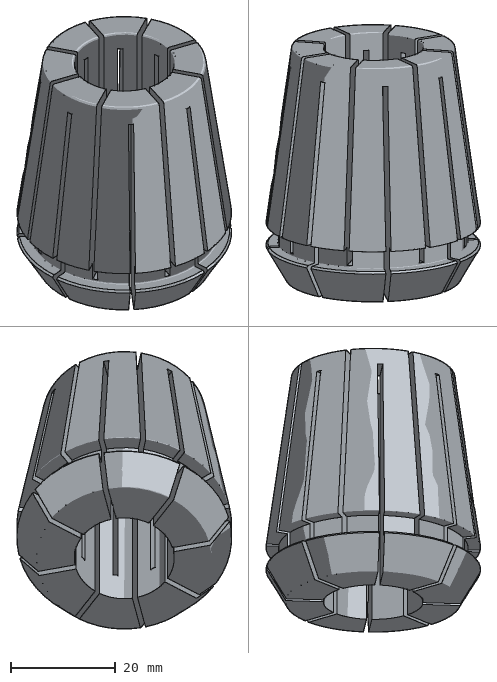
import cadquery as cq
import math

length = 46.0
max_radius = 20.5
bore_radius = 19.05 / 2

taper_angle = 8.0
taper_base_z = 11.0
nose_angle = 30.0
rim_chamfer = 0.4
end_fillet = 0.5
bore_fillet = 0.4
taper_base_fillet = 0.1
nose_fillet = 0.2

groove_radius = 18.1
groove_floor_z = 7.0
groove_fillet = 0.2

slots_per_end = 8
slot_width = 1.0
slot_web = 3.5
slot_floor_clearance = 0.5

match_tolerance = 0.001

upper_slot_floor_z = groove_floor_z + slot_floor_clearance
slot_pitch = 360 / slots_per_end
taper_slope = math.tan(math.radians(taper_angle))
nose_slope = math.tan(math.radians(nose_angle))


def taper_radius(z):
    """Radius of the main taper at height z."""
    return max_radius - (z - taper_base_z) * taper_slope


def round_circle(body, radius, z, fillet_radius):
    """Fillet the circular edge of the given radius at height z."""

    def is_target(edge):
        same_height = abs(edge.Center().z - z) < match_tolerance
        same_radius = abs(edge.radius() - radius) < match_tolerance
        return same_height and same_radius

    return body.edges("%CIRCLE").filter(is_target).fillet(fillet_radius)


def make_body():
    """Revolved collet with its bore, before slotting."""
    rim_z = groove_floor_z - rim_chamfer
    nose_radius = max_radius - rim_z * nose_slope
    profile = [
        (bore_radius, 0),
        (nose_radius, 0),
        (max_radius, rim_z),
        (max_radius - rim_chamfer, groove_floor_z),
        (groove_radius, groove_floor_z),
        (groove_radius, taper_base_z),
        (max_radius, taper_base_z),
        (taper_radius(length), length),
        (bore_radius, length),
    ]
    body = cq.Workplane("XZ").polyline(profile).close().revolve(360, (0, 0, 0), (0, 1, 0))
    body = round_circle(body, bore_radius, length, bore_fillet)
    body = round_circle(body, taper_radius(length), length, end_fillet)
    body = round_circle(body, groove_radius, groove_floor_z, groove_fillet)
    body = round_circle(body, max_radius, taper_base_z, taper_base_fillet)
    return round_circle(body, nose_radius, 0, nose_fillet)


def cut_slots(body, bottom_z, top_z, first_angle):
    """Cut evenly spaced radial slots between two heights."""
    slot = cq.Workplane("XY", origin=(0, 0, bottom_z)).box(
        length, slot_width, top_z - bottom_z, centered=(False, True, False)
    )
    for index in range(slots_per_end):
        angle = first_angle + index * slot_pitch
        body = body.cut(slot.rotate((0, 0, 0), (0, 0, 1), angle))
    return body


result = make_body()
result = cut_slots(result, 0, length - slot_web, 0)
result = cut_slots(result, upper_slot_floor_z, length, slot_pitch / 2)